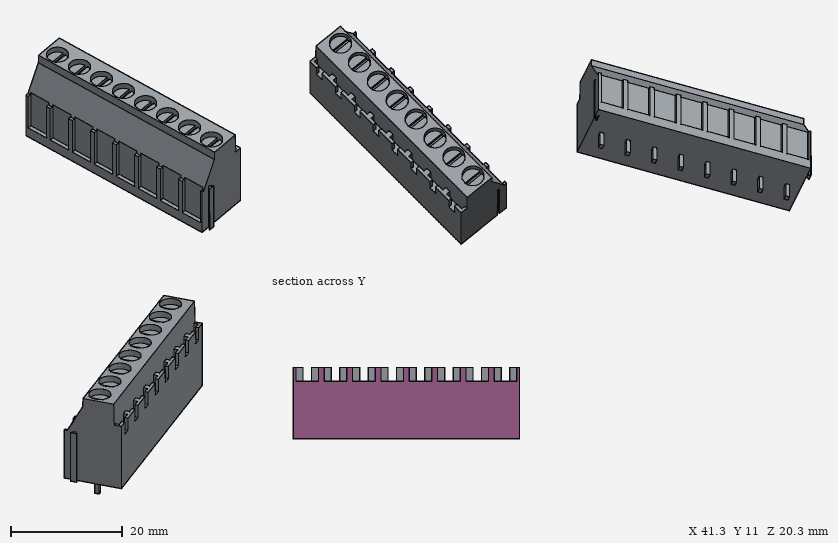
import cadquery as cq

pole_count = 8
pole_pitch = 5.08
body_length = pole_count * pole_pitch
overall_length = 41.3

body_depth = 11.0
body_height = 17.05
front_ledge_depth = 0.55
front_ledge_height = 9.9
brow_depth = 3.5
brow_height = 15.3
top_front_depth = 3.6
top_back_depth = 9.5
step_depth = 9.6
step_height = 12.8

well_diameter = 3.95
well_depth = 1.2
well_y = 5.85
slot_width = 0.58
slot_depth = 0.6

pocket_width = 4.2
pocket_offset = 0.55
pocket_depth = 0.75
pocket_floor = 2.25

tee_head_width = 4.0
tee_neck_width = 1.5
tee_neck_length = 0.6
tee_depth = 2.48

pin_width = 0.75
pin_thickness = 0.85
pin_length = 3.25
pin_y = 5.45

dovetail_y = 2.02
dovetail_neck = 0.5
dovetail_width = 1.2
dovetail_neck_length = 0.2
dovetail_flank_length = 0.3
dovetail_lean = 0.1
dovetail_length = overall_length - body_length

pole_centres = [(i + 0.5) * pole_pitch for i in range(pole_count)]


def corner_box(width, depth, height, x, y, z):
    """Box whose lowest X, Y and Z corner lies at (x, y, z)."""
    return cq.Workplane("XY").box(width, depth, height, centered=False).translate((x, y, z))


def housing():
    profile = [
        (0, 0),
        (body_depth, 0),
        (body_depth, step_height),
        (step_depth, step_height),
        (top_back_depth, body_height),
        (top_front_depth, body_height),
        (brow_depth, brow_height),
        (front_ledge_depth, front_ledge_height),
        (0, front_ledge_height),
    ]
    return cq.Workplane("YZ").polyline(profile).close().extrude(body_length)


def dovetail_outline(wall_x, length):
    """Corners of the dovetail, widening in +X from its neck at wall_x."""
    half_neck = dovetail_neck / 2
    half_width = dovetail_width / 2
    flank_start = wall_x + dovetail_neck_length
    flank_end = flank_start + dovetail_flank_length
    tip = wall_x + length
    return [
        (wall_x, dovetail_y - half_neck),
        (flank_start, dovetail_y - half_neck),
        (flank_end, dovetail_y - half_width),
        (tip, dovetail_y - half_width),
        (tip, dovetail_y + half_width),
        (flank_end, dovetail_y + half_width),
        (flank_start, dovetail_y + half_neck),
        (wall_x, dovetail_y + half_neck),
    ]


def dovetail(wall_x):
    """Upright dovetail bar whose end face leans back slightly towards the top."""
    foot = dovetail_outline(wall_x, dovetail_length)
    head = dovetail_outline(wall_x, dovetail_length - dovetail_lean)
    bar = cq.Workplane("XY").polyline(foot).close()
    bar = bar.workplane(offset=front_ledge_height).polyline(head).close()
    return bar.loft(ruled=True)


def screw_well(x):
    floor_z = body_height - well_depth
    well = cq.Workplane("XY", origin=(x, well_y, floor_z)).circle(well_diameter / 2).extrude(well_depth)
    disc = cq.Workplane("XY", origin=(x, well_y, floor_z)).circle(well_diameter / 2).extrude(-slot_depth)
    slot = corner_box(
        slot_width, well_diameter, slot_depth,
        x - slot_width / 2, well_y - well_diameter / 2, floor_z - slot_depth,
    )
    return well.union(slot.intersect(disc))


def wire_pocket(x):
    left = x - pole_pitch / 2 + pocket_offset
    return corner_box(pocket_width, pocket_depth, body_height, left, 0, pocket_floor)


def tee_slot(x):
    floor_z = step_height - tee_depth
    neck_y = body_depth - tee_neck_length
    head = corner_box(
        tee_head_width, neck_y - step_depth, tee_depth, x - tee_head_width / 2, step_depth, floor_z
    )
    neck = corner_box(tee_neck_width, tee_neck_length, tee_depth, x - tee_neck_width / 2, neck_y, floor_z)
    return head.union(neck)


def pin(x):
    return corner_box(
        pin_width, pin_thickness, pin_length, x - pin_width / 2, pin_y - pin_thickness / 2, -pin_length
    )


result = housing().union(dovetail(body_length))
result = result.cut(dovetail(0))
for centre in pole_centres:
    result = result.cut(screw_well(centre))
    result = result.cut(wire_pocket(centre))
    result = result.cut(tee_slot(centre))
    result = result.union(pin(centre))